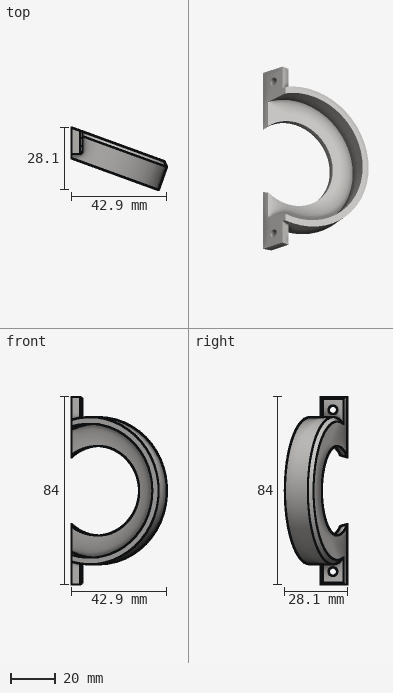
import cadquery as cq
import math

tilt_angle = 20.0
ring_radius = 33.0
pocket_radius = 30.0
bore_radius = 20.0
ring_depth = 13.0
floor_thickness = 3.0
back_chamfer = 2.0
ring_center_x = 12.55

overall_height = 84.0
tab_thickness = 5.0
tab_width = 12.0
tab_chamfer = 1.0
tab_inner_z = 28.0
screw_diameter = 3.7
screw_z = 36.2
screw_y = -6.5

tilt = math.radians(tilt_angle)
ring_center_y = -ring_center_x * math.tan(tilt)
ring_plane = cq.Plane(
    origin=(ring_center_x, ring_center_y, 0),
    xDir=(math.cos(tilt), -math.sin(tilt), 0),
    normal=(-math.sin(tilt), -math.cos(tilt), 0),
)
pocket_depth = ring_depth - floor_thickness
half_height = overall_height / 2
cutter_size = 2 * ring_radius


def make_ring_blank():
    """Solid disc with the edge of its back face chamfered."""
    disc = cq.Workplane(ring_plane).circle(ring_radius).extrude(ring_depth)
    back_face = cq.selectors.NearestToPointSelector((ring_center_x, ring_center_y, 0))
    return disc.faces(back_face).chamfer(back_chamfer)


def make_tab():
    """Upper tab, bevelled around its +X face and trimmed flush with the ring's back face."""
    tab_height = half_height - tab_inner_z
    block_width = tab_width + tab_thickness
    tab = (
        cq.Workplane("XY")
        .box(tab_thickness, block_width, tab_height, centered=False)
        .translate((0, -tab_width, tab_inner_z))
        .faces(">X")
        .chamfer(tab_chamfer)
    )
    behind_ring = cq.Workplane(ring_plane).rect(2 * cutter_size, 2 * cutter_size).extrude(-cutter_size)
    screw_hole = (
        cq.Workplane("YZ")
        .center(screw_y, screw_z)
        .circle(screw_diameter / 2)
        .extrude(tab_thickness)
    )
    return tab.cut(behind_ring).cut(screw_hole)


def make_cavity():
    """Front pocket together with the bore through the floor."""
    pocket = (
        cq.Workplane(ring_plane)
        .workplane(offset=floor_thickness)
        .circle(pocket_radius)
        .extrude(pocket_depth)
    )
    bore = cq.Workplane(ring_plane).circle(bore_radius).extrude(ring_depth)
    return pocket.union(bore)


upper_tab = make_tab()
lower_tab = upper_tab.mirror("XY")
mounting_side = cq.Workplane("YZ").rect(2 * cutter_size, 2 * cutter_size).extrude(-cutter_size)

result = (
    make_ring_blank()
    .cut(mounting_side)
    .union(upper_tab)
    .union(lower_tab)
    .cut(make_cavity())
)